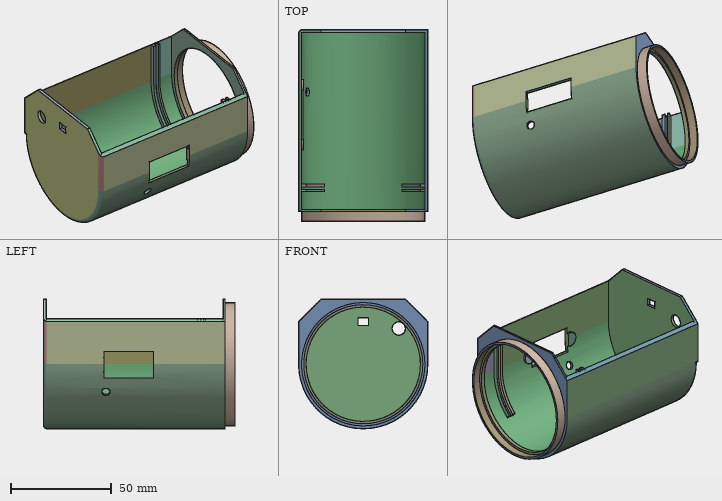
import cadquery as cq
import math


outer_radius = 64.05 / 2
body_length = 90.0
top_height = 32.285
corner_chamfer = 11.2
side_wall = 1.5
front_wall = 1.0
back_wall = 1.5
back_edge_fillet = 2.0
inner_radius = outer_radius - side_wall
cavity_length = body_length - front_wall - back_wall

collar_diameter = 61.11
collar_length = 5.0
seat_diameter = 59.0
seat_depth = 4.0
bore_diameter = 56.59

rib_inner_radius = bore_diameter / 2
rib_top = top_height - corner_chamfer + side_wall
rib_end_angle = 47.0
front_rib_start = 9.75
front_rib_width = 1.0
rear_rib_start = 12.05
rear_rib_width = 1.5

window_length = 24.5
window_height = 13.0
window_center_y = 47.8
window_center_z = -0.2
pad_diameter = 7.5
pad_overlap = 2.35
pad_height = 1.0

side_hole_diameter = 4.0
side_hole_y = 59.0
side_hole_angle = 25.4

cable_hole_diameter = 6.5
cable_hole_x = 17.6
cable_hole_z = 17.7
slot_width = 5.0
slot_height = 3.7
slot_center_z = 21.1


def extrude_along_y(outline, start, length):
    """Extrude an outline drawn in X and Z from Y = start towards +Y."""
    return outline.extrude(-length).translate((0, start, 0))


def cylinder_along_y(diameter, start, length):
    return extrude_along_y(cq.Workplane("XZ").circle(diameter / 2), start, length)


def u_outline(radius, height):
    """Half-round bottom with straight sides up to the given height."""
    return (
        cq.Workplane("XZ")
        .moveTo(-radius, height)
        .lineTo(-radius, 0)
        .threePointArc((0, -radius), (radius, 0))
        .lineTo(radius, height)
        .close()
    )


def make_body():
    body = extrude_along_y(u_outline(outer_radius, top_height), 0, body_length)
    body = body.faces(">Y").edges("<X or <Z").fillet(back_edge_fillet)

    corner_size = 2 * back_edge_fillet
    sharp_corner = cq.Workplane("XY").box(corner_size, corner_size, top_height, centered=False)
    body = body.union(
        sharp_corner.translate((outer_radius - corner_size, body_length - corner_size, 0))
    )

    for side in (-1, 1):
        corner = (
            cq.Workplane("XZ")
            .moveTo(side * outer_radius, top_height)
            .lineTo(side * (outer_radius - corner_chamfer), top_height)
            .lineTo(side * outer_radius, top_height - corner_chamfer)
            .close()
        )
        body = body.cut(extrude_along_y(corner, 0, body_length))
    return body


def make_cavity():
    """Open-topped trough between the front and back walls."""
    return extrude_along_y(u_outline(inner_radius, top_height), front_wall, cavity_length)


def make_ribs(start, width):
    """Pair of ribs that follow both side walls and stop on radial faces beside the bottom."""
    filled = extrude_along_y(u_outline(inner_radius, rib_top), start, width)
    opening = extrude_along_y(u_outline(rib_inner_radius, rib_top), start, width)
    wedge_half_width = outer_radius / math.tan(math.radians(rib_end_angle))
    bottom_gap = (
        cq.Workplane("XZ")
        .moveTo(0, 0)
        .lineTo(-wedge_half_width, -outer_radius)
        .lineTo(wedge_half_width, -outer_radius)
        .close()
    )
    return filled.cut(opening).cut(extrude_along_y(bottom_gap, start, width))


def cylinder_along_x(diameter, start, length, y, z):
    return cq.Workplane("YZ").center(y, z).circle(diameter / 2).extrude(length).translate((start, 0, 0))


def make_pad(end):
    """Round pad on the inner face of the left wall at one end of the window."""
    center_y = window_center_y + end * (window_length / 2 + pad_diameter / 2 - pad_overlap)
    wall_middle = -inner_radius - side_wall / 2
    return cylinder_along_x(
        pad_diameter, wall_middle, side_wall / 2 + pad_height, center_y, window_center_z
    )


def make_window():
    return cq.Workplane("XY").box(outer_radius, window_length, window_height).translate(
        (-outer_radius, window_center_y, window_center_z)
    )


def make_side_hole():
    """Hole drilled radially into the lower part of the left wall."""
    drill_start = -outer_radius - side_wall
    level_hole = cylinder_along_x(side_hole_diameter, drill_start, outer_radius, side_hole_y, 0)
    return level_hole.rotate((0, 0, 0), (0, 1, 0), -side_hole_angle)


def make_back_openings():
    cable_hole = cylinder_along_y(cable_hole_diameter, body_length - 2 * back_wall, 3 * back_wall)
    slot = cq.Workplane("XY").box(slot_width, 4 * back_wall, slot_height)
    return cable_hole.translate((cable_hole_x, 0, cable_hole_z)).union(
        slot.translate((0, body_length, slot_center_z))
    )


result = make_body().cut(make_cavity())

result = result.union(cylinder_along_y(collar_diameter, -collar_length, collar_length))
result = result.cut(cylinder_along_y(seat_diameter, -collar_length, seat_depth))
result = result.cut(cylinder_along_y(bore_diameter, -collar_length, collar_length + front_wall))

result = result.union(make_ribs(front_rib_start, front_rib_width))
result = result.union(make_ribs(rear_rib_start, rear_rib_width))

for window_end in (-1, 1):
    result = result.union(make_pad(window_end))
result = result.cut(make_window())
result = result.cut(make_side_hole())

result = result.cut(make_back_openings())